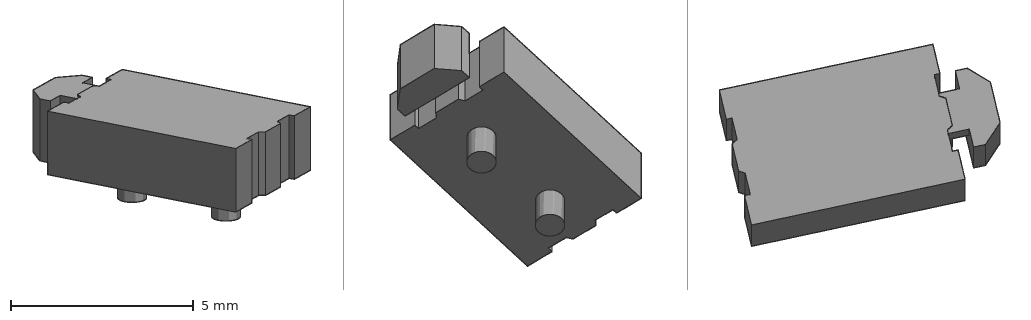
import cadquery as cq

total_length = 7.3
body_length = 6.0
body_width = 4.0
body_height = 1.85

recess_depth = 0.16
recess_width = 2.26
rib_root_width = 1.01
rib_tip_width = 0.8

latch_top_drop = 0.045
head_length = 0.87
head_chamfer = 0.53
neck_width = 1.2
neck_thickness = 0.525

pin_diameter = 0.8
pin_length = 1.0
pin_spacing = 2.99

body_end_x = body_length / 2
recess_floor_x = body_end_x - recess_depth
latch_tip_x = body_end_x - total_length
latch_top_z = body_height - latch_top_drop


def make_end_recess():
    """Cutter for the +X end recess, leaving the tapered rib standing."""
    recess = cq.Workplane("XY").box(
        recess_depth, recess_width, body_height, centered=(False, True, False)
    ).translate((recess_floor_x, 0, 0))
    rib = (
        cq.Workplane("XY")
        .polyline([
            (recess_floor_x, -rib_root_width / 2),
            (body_end_x, -rib_tip_width / 2),
            (body_end_x, rib_tip_width / 2),
            (recess_floor_x, rib_root_width / 2),
        ])
        .close()
        .extrude(body_height)
    )
    return recess.cut(rib)


def make_body():
    """Rectangular block with matching recesses in both ends."""
    body = cq.Workplane("XY").box(body_length, body_width, body_height, centered=(True, True, False))
    recess = make_end_recess()
    return body.cut(recess).cut(recess.mirror("YZ"))


def make_latch():
    """Full-depth chamfered head hung from a thin neck at the top."""
    head = (
        cq.Workplane("XY")
        .box(head_length, recess_width, latch_top_z, centered=(False, True, False))
        .edges("|Z and <X")
        .chamfer(head_chamfer)
        .translate((latch_tip_x, 0, 0))
    )
    neck_start_x = latch_tip_x + head_length
    neck_length = -recess_floor_x - neck_start_x
    neck = cq.Workplane("XY").box(
        neck_length, neck_width, neck_thickness, centered=(False, True, False)
    ).translate((neck_start_x, 0, latch_top_z - neck_thickness))
    return head.union(neck)


def make_pins():
    """Two pins along the housing centreline, pointing down."""
    return (
        cq.Workplane("XY")
        .rarray(pin_spacing, 0.07, 2, 1)
        .circle(pin_diameter / 2)
        .extrude(-pin_length)
    )


centring_shift = (total_length - body_length) / 2
result = make_body().union(make_latch()).union(make_pins()).translate((centring_shift, 0, 0))